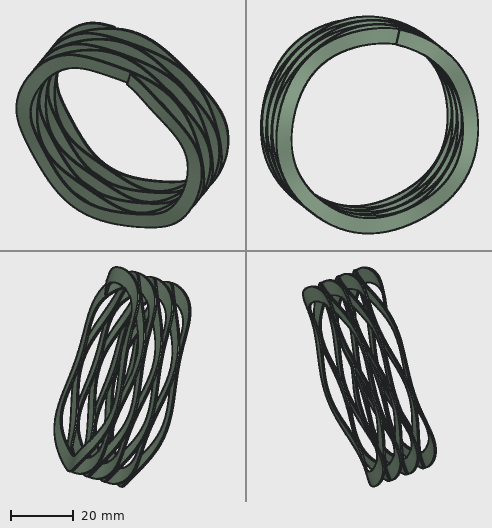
import cadquery as cq
import math

outer_radius = 33.6
strip_width = 5.05
inner_radius = outer_radius - strip_width
strip_thickness = 0.6
spring_length = 23.05
waves_per_turn = 4.5
crest_gap = 0.015
full_turns = 7
end_gap_angle = 26.0
end_bend = 1.1
points_per_wave = 12

half_sweep = (full_turns * 360.0 - end_gap_angle) / 2

wave_angle = 360.0 / waves_per_turn
first_crest = wave_angle / 4
crests_passed = math.floor((half_sweep - first_crest) / wave_angle)
last_crest_turns = (first_crest + crests_passed * wave_angle) / 360.0
last_crest_angle = last_crest_turns * 360.0
pitch = (spring_length + crest_gap) / (2 * last_crest_turns + 1)
wave_amplitude = (pitch - crest_gap - strip_thickness) / 2


def bend_inward(angle):
    """Extra shift toward the middle of the spring, growing smoothly past the last crest."""
    def rise(tail_angle):
        return 1 - math.cos(math.radians(waves_per_turn * tail_angle))

    past_crest = max(0.0, abs(angle) - last_crest_angle)
    shift = end_bend * rise(past_crest) / rise(half_sweep - last_crest_angle)
    return -math.copysign(shift, angle)


def strip_edge(radius, y_offset):
    """One long corner edge of the strip; angle zero is at the bottom, halfway along the strip."""
    def point(fraction):
        angle = half_sweep * (2 * fraction - 1)
        turn = math.radians(angle)
        wave = wave_amplitude * math.sin(waves_per_turn * turn)
        y = pitch * angle / 360.0 + wave + bend_inward(angle) + y_offset
        return cq.Vector(-radius * math.sin(turn), y, -radius * math.cos(turn))

    steps = math.ceil(2 * half_sweep / wave_angle * points_per_wave)
    return cq.Edge.makeSpline([point(i / steps) for i in range(steps + 1)])


def end_face(edges, position):
    """Flat rectangular end of the strip, through the same end of all four corner edges."""
    corners = [edge.positionAt(position) for edge in edges]
    return cq.Face.makeFromWires(cq.Wire.makePolygon(corners, close=True))


half_thickness = strip_thickness / 2
corner_edges = [
    strip_edge(inner_radius, -half_thickness),
    strip_edge(outer_radius, -half_thickness),
    strip_edge(outer_radius, half_thickness),
    strip_edge(inner_radius, half_thickness),
]
next_edges = corner_edges[1:] + corner_edges[:1]

faces = [cq.Face.makeRuledSurface(a, b) for a, b in zip(corner_edges, next_edges)]
faces += [end_face(corner_edges, position) for position in (0, 1)]

spring = cq.Solid.makeSolid(cq.Shell.makeShell(faces)).fix()
result = cq.Workplane("XY").newObject([spring])